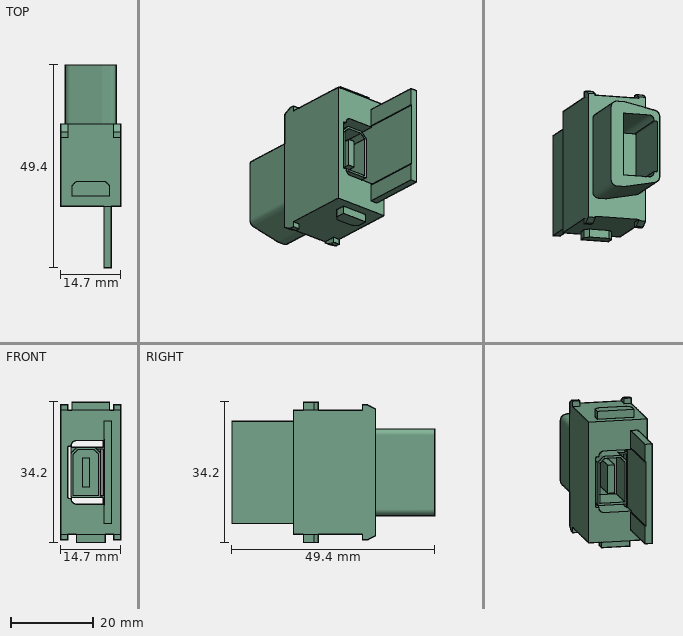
import cadquery as cq


total_length = 49.4

body_width = 14.65
body_length = 20.05
body_height = 30.25

plate_length = 14.95
plate_left = 3.15
plate_thickness = 1.85
plate_height = 24.9
recess_height = 16.0
recess_depth = 0.2

housing_length = total_length - plate_length - body_length
housing_width = 12.45
housing_height = 21.15
housing_left_height = 17.5
housing_ridge_x = 2.75
housing_radius = 1.55

window_left = -4.75
window_right = plate_left + recess_depth
window_height = 15.4
window_radius = 1.25
bay_left = -5.6
bay_height = 12.65
bay_radius = 0.3
narrow_right = 3.0

socket_center_x = -1.2
socket_width = 7.3
socket_height = 12.25
socket_wall = 0.55
socket_front = 1.0
socket_corner_radius = 0.3
shell_chamfer = 1.5
block_front = 4.45
cavity_chamfer = 1.2
cavity_depth = 8.9
tongue_width = 1.75
tongue_height = 7.0
tongue_setback = 1.3
rib_thickness = 0.45
rib_front = 3.95

lug_height = 2.0
lug_front = 2.45
lug_length = 3.6
lug_chamfer = 1.05
top_lug_width = 9.15
bottom_lug_width = 7.05

clip_width = 1.8
clip_length = 3.25
clip_ramp_length = 2.05
clip_height = 1.35
clip_rear_height = 0.3


def box(x_min, x_max, y_min, y_max, z_min, z_max):
    """Rectangular block given by its limits."""
    size = (x_max - x_min, y_max - y_min, z_max - z_min)
    return cq.Workplane("XY").box(*size, centered=False).translate((x_min, y_min, z_min))


def tall_block(x_min, x_max, y_min, y_max, height):
    """Rectangular block centred on Z = 0."""
    return box(x_min, x_max, y_min, y_max, -height / 2, height / 2)


def make_body():
    return tall_block(-body_width / 2, body_width / 2, 0, body_length, body_height)


def make_plate():
    """Plate with a shallow full-length recess in its left face, in line with the window."""
    plate = tall_block(plate_left, plate_left + plate_thickness, -plate_length, 0, plate_height)
    recess = tall_block(plate_left, plate_left + recess_depth, -plate_length, 0, recess_height)
    return plate.cut(recess)


def make_housing():
    half_width = housing_width / 2
    outline = [
        (-half_width, -housing_left_height / 2),
        (housing_ridge_x, -housing_height / 2),
        (half_width, -housing_height / 2),
        (half_width, housing_height / 2),
        (housing_ridge_x, housing_height / 2),
        (-half_width, housing_left_height / 2),
    ]
    housing = (
        cq.Workplane("XZ", origin=(0, body_length, 0))
        .polyline(outline)
        .close()
        .extrude(-housing_length)
    )
    outer_corners = housing.edges("|Y and (<X or >X)")
    return outer_corners.fillet(housing_radius)


def make_opening():
    """Opening from front to rear that narrows on its right side where the ribs begin."""
    rear = body_length + housing_length
    window = tall_block(window_left, window_right, 0, rib_front, window_height)
    narrow_window = tall_block(window_left, narrow_right, rib_front, rear, window_height)
    bay = tall_block(bay_left, narrow_right, 0, rear, bay_height)
    opening = bay.edges("|Y and <X").fillet(bay_radius)
    for section in (window, narrow_window):
        opening = opening.union(section.edges("|Y and <X").fillet(window_radius))
    return opening


def make_socket():
    """Socket with a chamfered front shell, a blind cavity, a tongue and two ribs to the right wall."""
    left = socket_center_x - socket_width / 2
    right = socket_center_x + socket_width / 2
    cavity_rear = socket_front + cavity_depth

    shell = tall_block(left, right, socket_front, block_front, socket_height)
    shell = shell.edges("|Y and >Z").chamfer(shell_chamfer)
    shell = shell.edges("|Y and (<Z or >Z)").fillet(socket_corner_radius)
    block = tall_block(left, right, block_front, body_length, socket_height)
    block = block.edges("|Y").fillet(socket_corner_radius)

    cavity_height = socket_height - 2 * socket_wall
    cavity = tall_block(left + socket_wall, right - socket_wall, socket_front, cavity_rear, cavity_height)
    cavity = cavity.edges("|Y and >Z").chamfer(cavity_chamfer)
    tongue = tall_block(
        socket_center_x - tongue_width / 2,
        socket_center_x + tongue_width / 2,
        socket_front + tongue_setback,
        cavity_rear,
        tongue_height,
    )
    socket = shell.union(block).cut(cavity).union(tongue)

    rib_top = socket_height / 2
    rib_bottom = rib_top - rib_thickness
    rib_left = right - shell_chamfer
    top_rib = box(rib_left, narrow_right, rib_front, body_length, rib_bottom, rib_top)
    bottom_rib = top_rib.mirror("XY")
    return socket.union(top_rib).union(bottom_rib)


def make_lug(width):
    """Lug on the top face, with its two rear corners cut off."""
    base = body_height / 2
    lug = box(-width / 2, width / 2, lug_front, lug_front + lug_length, base, base + lug_height)
    return lug.edges("|Z and >Y").chamfer(lug_chamfer)


def make_clip():
    """Ramped clip at the top left rear corner."""
    base = body_height / 2
    clip_front = body_length - clip_length
    profile = [
        (clip_front, base),
        (clip_front, base + clip_height),
        (body_length - clip_ramp_length, base + clip_height),
        (body_length, base + clip_rear_height),
        (body_length, base),
    ]
    return (
        cq.Workplane("YZ", origin=(-body_width / 2, 0, 0))
        .polyline(profile)
        .close()
        .extrude(clip_width)
    )


result = make_body().union(make_housing()).cut(make_opening())
result = result.union(make_plate()).union(make_socket())

result = result.union(make_lug(top_lug_width))
result = result.union(make_lug(bottom_lug_width).mirror("XY"))

left_clips = make_clip().union(make_clip().mirror("XY"))
result = result.union(left_clips).union(left_clips.mirror("YZ"))